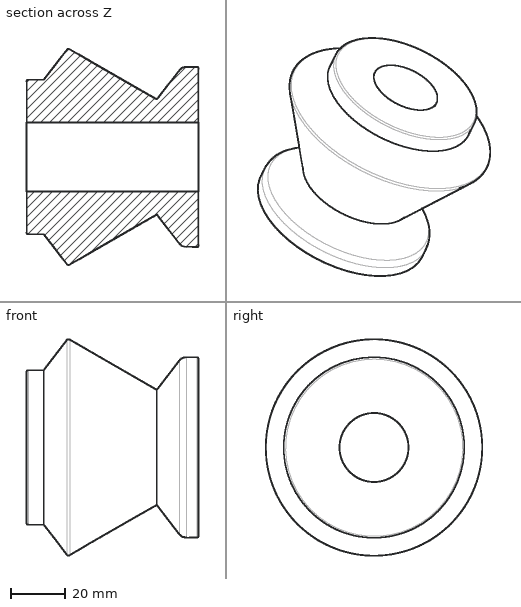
import cadquery as cq
import math

total_length = 63.5
bore_diameter = 25.4

hub_diameter = 57.15
hub_length = 6.35

crest_diameter = 80.0
crest_round = 0.794
steep_angle = 52.5
shallow_angle = 30.0

groove_bottom_x = 48.1

flange_diameter = 66.675
flange_round = 3.175
end_round = 0.635

pick_margin = 0.01

steep_slope = math.tan(math.radians(steep_angle))
shallow_slope = math.tan(math.radians(shallow_angle))

hub_radius = hub_diameter / 2
flange_radius = flange_diameter / 2

steep_drop = crest_round / math.cos(math.radians(steep_angle))
shallow_drop = crest_round / math.cos(math.radians(shallow_angle))
centre_shift = (steep_drop - shallow_drop) / (steep_slope + shallow_slope)
centre_drop = shallow_drop + shallow_slope * centre_shift
sharp_crest_radius = crest_diameter / 2 + centre_drop - crest_round

crest_x = hub_length + (sharp_crest_radius - hub_radius) / steep_slope
groove_radius = sharp_crest_radius - shallow_slope * (groove_bottom_x - crest_x)
flange_x = groove_bottom_x + (flange_radius - groove_radius) / steep_slope


def turned_blank():
    """Solid of revolution with sharp edges, hub face at X = 0."""
    profile = [
        (0, 0),
        (0, hub_radius),
        (hub_length, hub_radius),
        (crest_x, sharp_crest_radius),
        (groove_bottom_x, groove_radius),
        (flange_x, flange_radius),
        (total_length, flange_radius),
        (total_length, 0),
    ]
    return cq.Workplane("XZ").polyline(profile).close().revolve(360, (0, 0, 0), (1, 0, 0))


def round_rim(body, x, radius, round_radius):
    """Round the circular edge of the given radius standing at x."""
    reach = radius + pick_margin
    rim = cq.selectors.BoxSelector(
        (x - pick_margin, -reach, -reach), (x + pick_margin, reach, reach), boundingbox=True
    )
    return body.edges(rim).edges("%CIRCLE").fillet(round_radius)


def cut_bore(body):
    """Plain bore along the whole axis."""
    bore = cq.Workplane("YZ").circle(bore_diameter / 2).extrude(total_length)
    return body.cut(bore)


roller = turned_blank()
rounded_rims = [
    (0, hub_radius, end_round),
    (crest_x, sharp_crest_radius, crest_round),
    (flange_x, flange_radius, flange_round),
    (total_length, flange_radius, end_round),
]
for rim_x, rim_radius, rim_round in rounded_rims:
    roller = round_rim(roller, rim_x, rim_radius, rim_round)
roller = cut_bore(roller)

result = roller.translate((-total_length / 2, 0, 0))